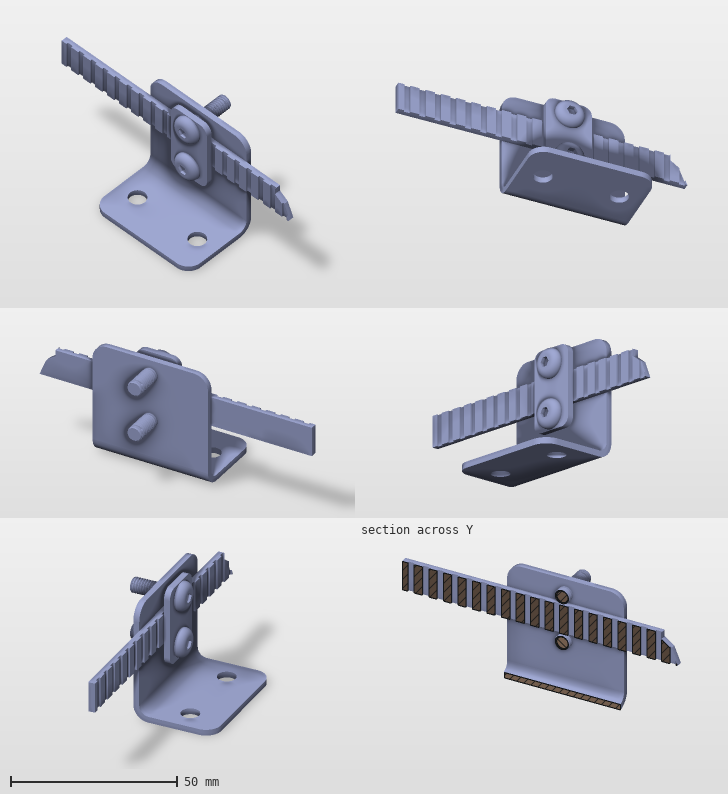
import cadquery as cq


SHEET = 2.0
BRACKET_WIDTH = 40.1
BRACKET_HEIGHT = 39.0
FOOT_DEPTH = 27.0
BEND_INNER_RADIUS = 3.0
BRACKET_CORNER_RADIUS = 5.0
FOOT_HOLE_DIAMETER = 6.0
FOOT_HOLE_SPACING = 25.0
FOOT_HOLE_FROM_FRONT = 11.5

SCREW_DIAMETER = 5.0
THREAD_ROOT_DIAMETER = 4.2
THREAD_PITCH = 0.85
THREAD_CREST_WIDTH = 0.2
THREAD_BASE_WIDTH = 0.8
SHANK_LENGTH = 16.0
TIP_CHAMFER = 0.3
HEAD_DIAMETER = 9.5
HEAD_FACE_DIAMETER = 5.0
HEAD_HEIGHT = 2.7
HEAD_RIM_HEIGHT = 0.2
SOCKET_FLATS = 3.0
SOCKET_DEPTH = 1.5
SOCKET_CONE_DEPTH = 0.85
SCREW_SPACING = 16.0
SCREW_EDGE_DISTANCE = 5.0

PLATE_WIDTH = 15.0
PLATE_CORNER_RADIUS = 3.0

BELT_LENGTH = 94.6
BELT_WIDTH = 10.0
BELT_THICKNESS = 2.2
BELT_LEFT_OVERHANG = 34.9
GROOVE_WIDTH = 2.0
GROOVE_DEPTH = 0.7
GROOVE_COUNT = 19
FIRST_GROOVE_FROM_LEFT = 2.0
LAST_GROOVE_FROM_LEFT = 92.0
TORN_END_LENGTH = 5.6
TORN_END_STEP = 2.3
TORN_END_KNEE_FROM_TIP = 2.3
TORN_END_KNEE_DROP = 4.6

BEND_OUTER_RADIUS = BEND_INNER_RADIUS + SHEET
WALL_FRONT = -SHEET
BELT_FRONT = WALL_FRONT - BELT_THICKNESS
PLATE_FRONT = BELT_FRONT - SHEET
UPPER_SCREW_Z = BRACKET_HEIGHT - SCREW_EDGE_DISTANCE
SCREW_HEIGHTS = [UPPER_SCREW_Z - SCREW_SPACING, UPPER_SCREW_Z]
CLAMP_CENTRE_Z = UPPER_SCREW_Z - SCREW_SPACING / 2
PLATE_HEIGHT = SCREW_SPACING + 2 * SCREW_EDGE_DISTANCE
CLAMPED_DEPTH = -PLATE_FRONT
TOOTH_PITCH = (LAST_GROOVE_FROM_LEFT - FIRST_GROOVE_FROM_LEFT) / (GROOVE_COUNT - 1)
BELT_LEFT = -BRACKET_WIDTH / 2 - BELT_LEFT_OVERHANG


def cut_screw_holes(body):
    """Cut both screw holes, which run from the back of the bracket to the front of the clamp plate."""
    for height in SCREW_HEIGHTS:
        hole = (
            cq.Workplane("XZ", origin=(0, 0, height))
            .circle(SCREW_DIAMETER / 2)
            .extrude(CLAMPED_DEPTH)
        )
        body = body.cut(hole)
    return body


def make_bracket():
    """Bent sheet with an upright wall, a foot toward -Y and two mounting holes in the foot."""
    foot = cq.Workplane("XY").box(BRACKET_WIDTH, FOOT_DEPTH, SHEET, centered=(True, False, False))
    foot = foot.translate((0, -FOOT_DEPTH, 0)).edges("|Z and <Y").fillet(BRACKET_CORNER_RADIUS)
    wall = cq.Workplane("XY").box(BRACKET_WIDTH, SHEET, BRACKET_HEIGHT, centered=(True, False, False))
    wall = wall.translate((0, -SHEET, 0)).edges("|Y and >Z").fillet(BRACKET_CORNER_RADIUS)
    bracket = foot.union(wall)

    inner_corner = cq.selectors.NearestToPointSelector((0, -SHEET, SHEET))
    bracket = bracket.edges(inner_corner).fillet(BEND_INNER_RADIUS)
    bracket = bracket.edges("|X and >Y and <Z").fillet(BEND_OUTER_RADIUS)

    foot_holes = (
        cq.Workplane("XY", origin=(0, -FOOT_DEPTH + FOOT_HOLE_FROM_FRONT, 0))
        .rarray(FOOT_HOLE_SPACING, 0.9, 2, 1)
        .circle(FOOT_HOLE_DIAMETER / 2)
        .extrude(SHEET)
    )
    return cut_screw_holes(bracket.cut(foot_holes))


def make_clamp_plate():
    """Rounded plate that presses the belt against the bracket wall."""
    plate = (
        cq.Workplane("XZ", origin=(0, BELT_FRONT, CLAMP_CENTRE_Z))
        .rect(PLATE_WIDTH, PLATE_HEIGHT)
        .extrude(SHEET)
        .edges("|Y")
        .fillet(PLATE_CORNER_RADIUS)
    )
    return cut_screw_holes(plate)


def make_belt():
    """Belt with teeth toward -Y and a torn right-hand end."""
    half_width = BELT_WIDTH / 2
    belt = (
        cq.Workplane("XZ", origin=(BELT_LEFT, WALL_FRONT, CLAMP_CENTRE_Z))
        .moveTo(0, -half_width)
        .lineTo(BELT_LENGTH, -half_width)
        .lineTo(BELT_LENGTH - TORN_END_KNEE_FROM_TIP, half_width - TORN_END_KNEE_DROP)
        .lineTo(BELT_LENGTH - TORN_END_LENGTH, half_width - TORN_END_STEP)
        .lineTo(BELT_LENGTH - TORN_END_LENGTH, half_width)
        .lineTo(0, half_width)
        .close()
        .extrude(BELT_THICKNESS)
    )
    for index in range(GROOVE_COUNT):
        groove_left = BELT_LEFT + FIRST_GROOVE_FROM_LEFT + index * TOOTH_PITCH
        groove = cq.Workplane("XY").box(GROOVE_WIDTH, GROOVE_DEPTH, BELT_WIDTH, centered=(False, False, True))
        belt = belt.cut(groove.translate((groove_left, BELT_FRONT, CLAMP_CENTRE_Z)))
    return belt


def along_y(body, height):
    """Turn a body built on Z to point along +Y, with its origin on the front of the clamp plate."""
    return body.rotate((0, 0, 0), (1, 0, 0), -90).translate((0, PLATE_FRONT, height))


def make_head():
    """Button head below local Z = 0, with a hexagonal socket that ends in a drill cone."""
    head = (
        cq.Workplane("XZ")
        .moveTo(0, -HEAD_HEIGHT)
        .lineTo(HEAD_FACE_DIAMETER / 2, -HEAD_HEIGHT)
        .tangentArcPoint((HEAD_DIAMETER / 2, -HEAD_RIM_HEIGHT), relative=False)
        .lineTo(HEAD_DIAMETER / 2, 0)
        .lineTo(0, 0)
        .close()
        .revolve()
    )
    socket = (
        cq.Workplane("XY", origin=(0, 0, -HEAD_HEIGHT))
        .polygon(6, SOCKET_FLATS, circumscribed=True)
        .extrude(SOCKET_DEPTH)
        .rotate((0, 0, 0), (0, 0, 1), 90)
    )
    cone_base = cq.Vector(0, 0, SOCKET_DEPTH - HEAD_HEIGHT)
    cone = cq.Solid.makeCone(SOCKET_FLATS / 2, 0, SOCKET_CONE_DEPTH, pnt=cone_base)
    return head.cut(socket).cut(cq.Workplane(obj=cone))


def make_screw(height):
    """Screw without its thread: a button head on the clamp plate and a plain core along +Y."""
    core = cq.Workplane("XY").circle(THREAD_ROOT_DIAMETER / 2).extrude(SHANK_LENGTH)
    return along_y(make_head().union(core), height)


def make_thread(height):
    """Helical ridge wound on a screw core, trimmed flat under the head and chamfered at the tip."""
    root = THREAD_ROOT_DIAMETER / 2
    crest = SCREW_DIAMETER / 2
    path = cq.Wire.makeHelix(THREAD_PITCH, SHANK_LENGTH + 2 * THREAD_PITCH, root)
    ridge = (
        cq.Workplane("XZ")
        .moveTo(root, -THREAD_BASE_WIDTH / 2)
        .lineTo(crest, -THREAD_CREST_WIDTH / 2)
        .lineTo(crest, THREAD_CREST_WIDTH / 2)
        .lineTo(root, THREAD_BASE_WIDTH / 2)
        .close()
        .sweep(cq.Workplane(obj=path), isFrenet=True)
        .translate((0, 0, -THREAD_PITCH))
    )
    envelope = (
        cq.Workplane("XY")
        .circle(HEAD_DIAMETER / 2)
        .extrude(SHANK_LENGTH)
        .faces(">Z")
        .chamfer(HEAD_DIAMETER / 2 - crest + TIP_CHAMFER)
    )
    return along_y(ridge.intersect(envelope).solids(), height)


bracket = make_bracket()
clamp_plate = make_clamp_plate()
belt = make_belt()
screws = [make_screw(height) for height in SCREW_HEIGHTS]
threads = [make_thread(height) for height in SCREW_HEIGHTS]

result = cq.Compound.makeCompound(
    [
        bracket.solids().val(),
        clamp_plate.solids().val(),
        belt.solids().val(),
        *[screw.solids().val() for screw in screws],
        *[thread.solids().val() for thread in threads],
    ]
)